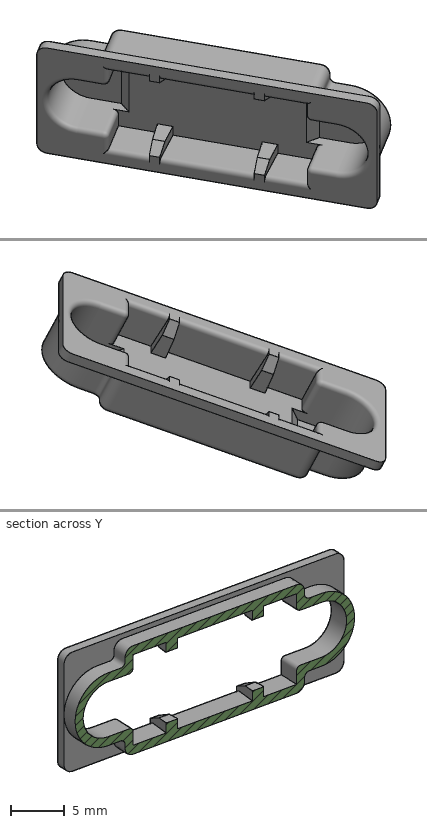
import cadquery as cq

length = 32.8
plate_height = 12.7
plate_thickness = 1.0
plate_corner_radius = 1.0
depth = 5.3
wall = 1.0
edge_radius = 0.5

bay_half_length = 9.55
bay_half_height = 4.8
end_bay_radius = 2.9
bay_depth = 3.8
end_pocket_depth = 4.8
ramp_length = end_pocket_depth - bay_depth

body_half_length = bay_half_length + wall
body_half_height = bay_half_height + wall
body_end_radius = end_bay_radius + wall
body_corner_radius = wall
body_step_radius = 0.5
end_center_x = length / 2 - body_end_radius

rib_center_x = 5.05
rib_front_width = 1.0
rib_back_width = 1.5
rib_front_height = 0.3
rib_back_height = 1.05
rib_slope_depth = 1.5


def block(x_size, z_size, y_start, y_end):
    """Box centred on the X and Z axes, spanning y_start to y_end."""
    return (
        cq.Workplane("XZ", origin=(0, y_start, 0))
        .rect(x_size, z_size)
        .extrude(y_start - y_end)
    )


def stadium(radius, y_start, y_end):
    """Round-ended bar along X whose end arcs sit at the end centres."""
    return (
        cq.Workplane("XZ", origin=(0, y_start, 0))
        .slot2D(2 * (end_center_x + radius), 2 * radius)
        .extrude(y_start - y_end)
    )


def junction_edges(shape, half_length, half_height):
    """Edges along Y at the four points (+-half_length, +-half_height)."""
    tolerance = 0.01

    def at_junction(edge):
        center = edge.Center()
        x_matches = abs(abs(center.x) - half_length) < tolerance
        z_matches = abs(abs(center.z) - half_height) < tolerance
        return x_matches and z_matches

    return shape.edges("|Y").filter(at_junction)


def make_plate():
    plate = block(length, plate_height, 0, plate_thickness)
    return plate.edges("|Y").fillet(plate_corner_radius)


def make_body():
    middle = block(2 * body_half_length, 2 * body_half_height, 0, depth)
    middle = middle.edges("|Y").fillet(body_corner_radius)
    body = middle.union(stadium(body_end_radius, 0, depth))
    body = junction_edges(body, body_half_length, body_end_radius).fillet(body_step_radius)
    return body.faces(">Y").edges().fillet(edge_radius)


def cut_cavity(solid):
    """Cut the bays to their common depth and round the mouth and the inner junctions."""
    middle = block(2 * bay_half_length, 2 * bay_half_height, 0, bay_depth)
    cavity = middle.union(stadium(end_bay_radius, 0, bay_depth))
    hollow = solid.cut(cavity)
    mouth = hollow.faces("<Y").edges(
        cq.selectors.BoxSelector(
            (-length / 2 + edge_radius, -edge_radius, -body_half_height),
            (length / 2 - edge_radius, edge_radius, body_half_height),
        )
    )
    junctions = junction_edges(hollow, bay_half_length, end_bay_radius)
    return mouth.add(junctions).fillet(edge_radius)


def make_end_pockets():
    """Deeper floors of the round ends, each ramping up to the middle floor."""
    ridge_top_x = bay_half_length - ramp_length
    ridge = (
        cq.Workplane("XY", origin=(0, 0, -end_bay_radius))
        .moveTo(-bay_half_length, end_pocket_depth)
        .lineTo(-ridge_top_x, bay_depth)
        .lineTo(ridge_top_x, bay_depth)
        .lineTo(bay_half_length, end_pocket_depth)
        .close()
        .extrude(2 * end_bay_radius)
    )
    return stadium(end_bay_radius, bay_depth, end_pocket_depth).cut(ridge)


def make_rib():
    """Rib on the lower wall: narrow and low at the mouth, wide and tall at the floor."""
    plan = (
        cq.Workplane("XY", origin=(0, 0, -body_half_height))
        .moveTo(-rib_front_width / 2, 0)
        .lineTo(rib_front_width / 2, 0)
        .lineTo(rib_back_width / 2, bay_depth)
        .lineTo(-rib_back_width / 2, bay_depth)
        .close()
        .extrude(body_half_height)
    )
    base_z = -bay_half_height - edge_radius
    back_z = -bay_half_height + rib_back_height
    profile = (
        cq.Workplane("YZ")
        .moveTo(0, base_z)
        .lineTo(0, -bay_half_height + rib_front_height)
        .lineTo(rib_slope_depth, back_z)
        .lineTo(bay_depth, back_z)
        .lineTo(bay_depth, base_z)
        .close()
        .extrude(rib_back_width / 2, both=True)
    )
    return plan.intersect(profile)


result = cut_cavity(make_plate().union(make_body()))
result = result.cut(make_end_pockets())
for side in (-1, 1):
    lower_rib = make_rib().translate((side * rib_center_x, 0, 0))
    result = result.union(lower_rib).union(lower_rib.mirror("XY"))